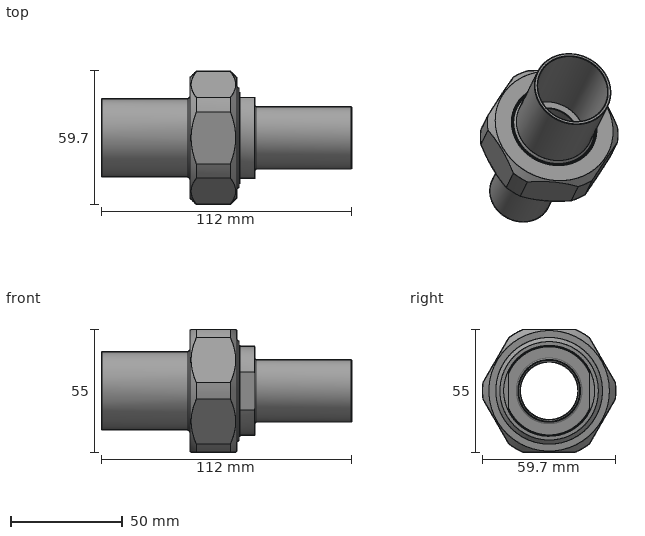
import cadquery as cq

TOTAL_LENGTH = 112.0
NECK_START = 38.6
NUT_START = 39.5
NUT_LENGTH = 21.0
NUT_WALL = 4.5
FLANGE_LENGTH = 4.5
THREAD_END = 61.6
COLLAR_START = 61.9
COLLAR_END = 68.7

LARGE_PIPE_DIA = 35.0
LARGE_BORE_DIA = 32.0
NECK_CONE_DIA = 37.0
NECK_DIA = 38.0
FLANGE_DIA = 44.8
SMALL_PIPE_DIA = 28.0
SMALL_BORE_DIA = 25.6
THREAD_DIA = 47.7
THREAD_TIP_DIA = 44.0
RELIEF_DIA = 40.7
COLLAR_DIA = 40.0
COLLAR_FLATS = 36.2
NUT_ACROSS_FLATS = 55.0
NUT_CORNER_DIA = 59.7
NUT_HOLE_DIA = 38.5

NUT_CHAMFER = 2.9
NUT_HOLE_CHAMFER = 0.28
COLLAR_CHAMFER = 0.28
PIPE_CHAMFER = 0.3
RIM_CHAMFER = 0.2
ROOT_FILLET = 0.7

NUT_END = NUT_START + NUT_LENGTH
FLANGE_START = NUT_START + NUT_WALL
JOINT = FLANGE_START + FLANGE_LENGTH
NECK_FLARE = (NECK_CONE_DIA - LARGE_PIPE_DIA) / 2
THREAD_CHAMFER = (THREAD_DIA - THREAD_TIP_DIA) / 2


def rod(diameter, start, end):
    """Solid cylinder on the X axis from start to end."""
    return cq.Workplane("YZ", origin=(start, 0, 0)).circle(diameter / 2).extrude(end - start)


def cone(start_diameter, end_diameter, start):
    """Solid 45 degree cone on the X axis, widening towards +X."""
    start_radius = start_diameter / 2
    end_radius = end_diameter / 2
    end = start + end_radius - start_radius
    outline = [(start, 0), (start, start_radius), (end, end_radius), (end, 0)]
    return cq.Workplane("XY").polyline(outline).close().revolve(360, (0, 0), (1, 0))


def make_large_pipe():
    """Pipe with a flared neck and a flange held inside the nut."""
    pipe = rod(LARGE_PIPE_DIA, 0, JOINT)
    neck = cone(LARGE_PIPE_DIA, NECK_CONE_DIA, NECK_START)
    sleeve = rod(NECK_DIA, NECK_START + NECK_FLARE, JOINT).faces("<X").chamfer(RIM_CHAMFER)
    flange = rod(FLANGE_DIA, FLANGE_START, JOINT)
    bore = rod(LARGE_BORE_DIA, 0, JOINT)
    body = pipe.union(neck).union(sleeve).union(flange).cut(bore)
    return body.faces("<X").chamfer(RIM_CHAMFER)


def make_nut():
    """Hexagonal nut with turned corners, an inward lip and a wide bore."""
    hexagon = (
        cq.Workplane("YZ", origin=(NUT_START, 0, 0))
        .transformed(rotate=(0, 0, 30))
        .polygon(6, NUT_ACROSS_FLATS, circumscribed=True)
        .extrude(NUT_LENGTH)
    )
    turned = rod(NUT_CORNER_DIA, NUT_START, NUT_END).faces("<X or >X").chamfer(NUT_CHAMFER)
    nut = hexagon.intersect(turned).cut(rod(NUT_HOLE_DIA, NUT_START, NUT_END))
    hole_edge = nut.faces("<X").edges(cq.selectors.RadiusNthSelector(0))
    nut = hole_edge.chamfer(NUT_HOLE_CHAMFER)
    return nut.cut(rod(THREAD_DIA, FLANGE_START, NUT_END))


def make_collar():
    """Round collar with two wrench flats facing -Y and +Y."""
    length = COLLAR_END - COLLAR_START
    collar = rod(COLLAR_DIA, COLLAR_START, COLLAR_END).faces(">X").chamfer(COLLAR_CHAMFER)
    flats = cq.Workplane("XY").box(length, COLLAR_FLATS, COLLAR_DIA).translate(
        ((COLLAR_START + COLLAR_END) / 2, 0, 0)
    )
    return collar.intersect(flats)


def make_small_pipe():
    """Pipe with a wrench collar and a threaded end that fills the nut's bore."""
    pipe = rod(SMALL_PIPE_DIA, JOINT, TOTAL_LENGTH).faces(">X").chamfer(PIPE_CHAMFER)
    thread = rod(THREAD_DIA, JOINT, THREAD_END).faces(">X").chamfer(THREAD_CHAMFER)
    relief = rod(RELIEF_DIA, JOINT, COLLAR_START)
    bore = rod(SMALL_BORE_DIA, JOINT, TOTAL_LENGTH)
    body = pipe.union(thread).union(relief).union(make_collar()).cut(bore)
    root_edge = cq.selectors.BoxSelector(
        (COLLAR_END - ROOT_FILLET, -SMALL_PIPE_DIA, -SMALL_PIPE_DIA),
        (COLLAR_END + ROOT_FILLET, SMALL_PIPE_DIA, SMALL_PIPE_DIA),
    )
    inner_ring = cq.selectors.RadiusNthSelector(0)
    body = body.edges(root_edge).edges("%CIRCLE").edges(inner_ring).fillet(ROOT_FILLET)
    return body.faces("<X").edges(inner_ring).chamfer(RIM_CHAMFER)


large_pipe = make_large_pipe()
nut = make_nut()
small_pipe = make_small_pipe()

result = cq.Compound.makeCompound([large_pipe.val(), nut.val(), small_pipe.val()])